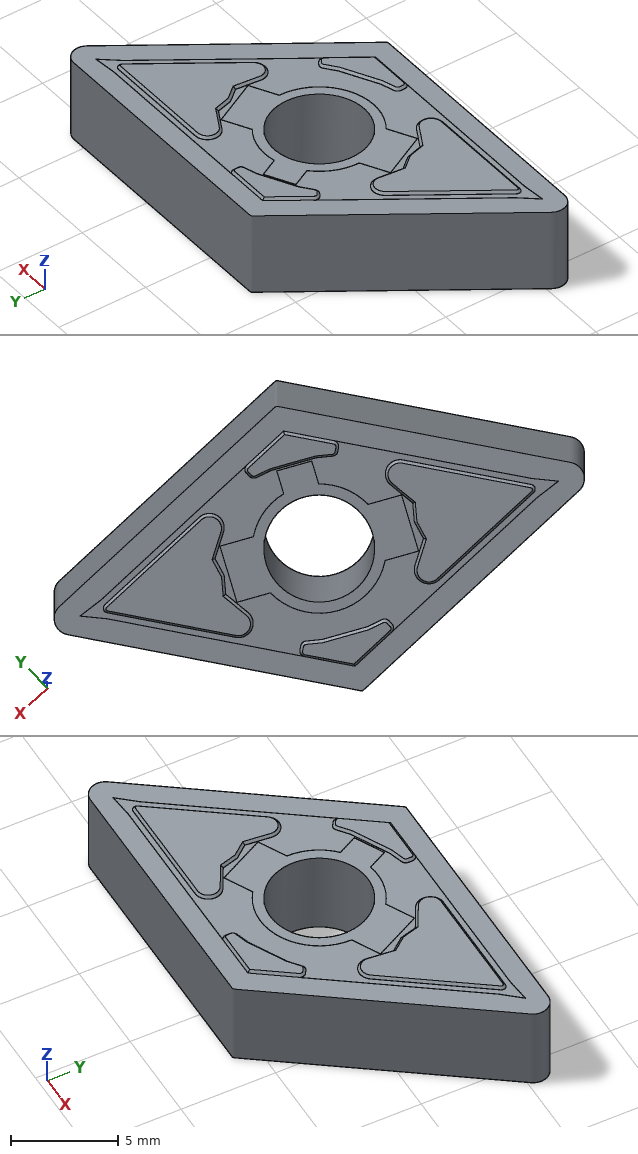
import cadquery as cq
import math

inscribed_diameter = 12.7
length = 22.93
thickness_over_pads = 4.84
rim_thickness = 4.59
acute_angle = 55.0
obtuse_corner_radius = 0.15
hole_diameter = 5.15

rim_width = 1.112
floor_depth = 0.011
floor_tip_extension = 0.25
floor_tip_setback = 1.03

land_radius = 3.12
acute_tab_reach = 4.4
acute_tab_width = 2.82
obtuse_tab_reach = 4.15
obtuse_tab_width = 1.7

acute_pad_gap = 0.287
acute_pad_corner_radius = 0.23
acute_pad_lobe_radius = 0.69
notch_distance = 4.8
notch_half_width = 0.9
notch_bump_distance = 4.6
flank_angle = 33.4

obtuse_pad_side_length = 2.65
obtuse_pad_end_length = 0.69
obtuse_pad_end_radius = 0.28
obtuse_pad_back_distance = 4.25
obtuse_pad_back_half_width = 1.1

search_margin = 0.02

half_acute = math.radians(acute_angle / 2)
half_obtuse = math.pi / 2 - half_acute
inscribed_radius = inscribed_diameter / 2
floor_inradius = inscribed_radius - rim_width
rim_level = rim_thickness / 2
floor_level = rim_level - floor_depth
root_level = floor_level - floor_depth
pad_level = thickness_over_pads / 2
pad_bevel = pad_level - rim_level

acute_directions = [acute_angle / 2, acute_angle / 2 + 180]
obtuse_directions = [angle + 90 for angle in acute_directions]

sharp_corner_x = inscribed_radius / math.sin(half_acute) * math.cos(half_acute)
nose_radius = (sharp_corner_x - length / 2) / (1 / math.tan(half_acute) - 1)


def prism(points, bottom, top):
    return cq.Workplane("XY").workplane(offset=bottom).polyline(points).close().extrude(top - bottom)


def mirrored(points):
    """Close a half outline, listed from the +X end, with its reflection in the X axis."""
    reflection = [(x, -y) for x, y in reversed(points) if y != 0]
    return points + reflection


def round_upright_edges(body, points, radius):
    """Round the upright edges of a prism that stand at the given points and their reflections."""
    for x, y in mirrored(points):
        low = (x - search_margin, y - search_margin, root_level)
        high = (x + search_margin, y + search_margin, pad_level)
        near = cq.selectors.BoxSelector(low, high)
        body = body.edges("|Z").edges(near).fillet(radius)
    return body


def turned(body, direction):
    return body.rotate((0, 0, 0), (0, 0, 1), direction)


def make_block():
    acute_corner = (inscribed_radius / math.sin(half_acute), 0)
    obtuse_corner = (0, inscribed_radius / math.sin(half_obtuse))
    outline = mirrored([acute_corner, obtuse_corner, (-acute_corner[0], 0)])
    block = prism(outline, -rim_level, rim_level)
    block = block.edges("|Z and (>X or <X)").fillet(nose_radius)
    block = block.edges("|Z and (>Y or <Y)").fillet(obtuse_corner_radius)
    return turned(block, acute_directions[0])


def make_floor_recess():
    corner = floor_inradius / math.sin(half_acute)
    tip = (corner + floor_tip_extension, 0)
    shoulder = (
        corner - floor_tip_setback * math.cos(half_acute),
        floor_tip_setback * math.sin(half_acute),
    )
    side_corner = (0, floor_inradius / math.sin(half_obtuse))
    outline = mirrored([tip, shoulder, side_corner, (-shoulder[0], shoulder[1]), (-tip[0], 0)])
    return turned(prism(outline, floor_level, pad_level), acute_directions[0])


def make_land():
    base = cq.Workplane("XY").workplane(offset=root_level)
    height = rim_level - root_level
    land = base.circle(land_radius).extrude(height)
    tabs = [
        (acute_directions[0], acute_tab_reach, acute_tab_width),
        (acute_directions[1], acute_tab_reach, acute_tab_width),
        (obtuse_directions[0], obtuse_tab_reach, obtuse_tab_width),
    ]
    for direction, reach, width in tabs:
        tab = base.center(reach / 2, 0).rect(reach, width).extrude(height)
        land = land.union(turned(tab, direction))
    return land


def make_acute_pad():
    """Triangular pad pointing along +X, with a notched back edge between two round lobes."""
    tip_x = (floor_inradius - acute_pad_gap) / math.sin(half_acute)
    flank_slope = math.tan(math.radians(flank_angle))
    side_slope = 1 / math.tan(half_acute)
    lobe_y = (tip_x - notch_distance - flank_slope * notch_half_width) / (side_slope - flank_slope)
    tip = (tip_x, 0)
    lobe = (tip_x - side_slope * lobe_y, lobe_y)
    notch = (notch_distance, notch_half_width)
    pad = prism(mirrored([tip, lobe, notch, (notch_bump_distance, 0)]), root_level, pad_level)
    pad = round_upright_edges(pad, [tip], acute_pad_corner_radius)
    pad = round_upright_edges(pad, [lobe], acute_pad_lobe_radius)
    return pad.faces(">Z").chamfer(pad_bevel)


def make_obtuse_pad():
    """Slim pad pointing along +X, its two sides running along the floor outline."""
    tip = (floor_inradius / math.sin(half_obtuse), 0)
    outer_end = (
        tip[0] - obtuse_pad_side_length * math.cos(half_obtuse),
        obtuse_pad_side_length * math.sin(half_obtuse),
    )
    inner_end = (
        outer_end[0] - obtuse_pad_end_length * math.sin(half_obtuse),
        outer_end[1] - obtuse_pad_end_length * math.cos(half_obtuse),
    )
    back = (obtuse_pad_back_distance, obtuse_pad_back_half_width)
    pad = prism(mirrored([tip, outer_end, inner_end, back]), root_level, pad_level)
    pad = round_upright_edges(pad, [outer_end, inner_end], obtuse_pad_end_radius)
    return pad.faces(">Z").chamfer(pad_bevel)


raised = make_land()
for pad, directions in [(make_acute_pad(), acute_directions), (make_obtuse_pad(), obtuse_directions)]:
    for direction in directions:
        raised = raised.union(turned(pad, direction))

recess = make_floor_recess()
hole = cq.Workplane("XY").circle(hole_diameter / 2).extrude(pad_level, both=True)

result = make_block().cut(recess).cut(recess.mirror("XY"))
result = result.union(raised).union(raised.mirror("XY"))
result = result.cut(hole)